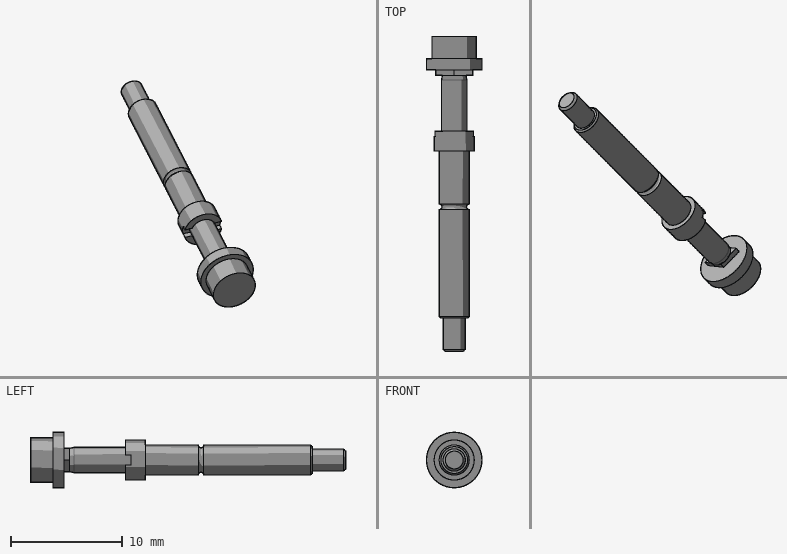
import cadquery as cq

total_length = 28.3
head_length = 2.0
flange_end = head_length + 1.0
key_end = flange_end + 0.5
stem_start = key_end + 0.4
collar_length = 1.8
collar_start = 8.5
collar_end = collar_start + collar_length
groove_center = 15.3
tip_length = 3.0
body_end = total_length - tip_length

head_radius = 2.0
flange_radius = 2.5
stem_radius = 1.15
neck_radius = 1.07
collar_radius = 1.8
body_radius = 1.35
groove_radius = 0.24
tip_radius = 1.0

body_chamfer = 0.15
tip_chamfer = 0.2

key_half_width = 1.68
key_half_height = 1.07

slot_width = 0.9
slot_depth = 0.5


def axial_plane(station):
    """Plane square to the axis, with its normal pointing at the tip (-Y)."""
    return cq.Workplane("XZ", origin=(0, total_length / 2 - station, 0))


def cylinder(radius, start, end):
    return axial_plane(start).circle(radius).extrude(end - start)


def make_head():
    return cylinder(head_radius, 0, head_length).union(cylinder(flange_radius, head_length, flange_end))


def make_key():
    corners = [
        (key_half_width, 0),
        (0, key_half_height),
        (-key_half_width, 0),
        (0, -key_half_height),
    ]
    return axial_plane(flange_end).polyline(corners).close().extrude(key_end - flange_end)


def make_stem():
    neck_length = stem_start - key_end
    neck = (
        axial_plane(key_end)
        .circle(neck_radius)
        .workplane(offset=neck_length)
        .circle(stem_radius)
        .loft()
    )
    return neck.union(cylinder(stem_radius, stem_start, collar_start + slot_depth))


def make_collar():
    collar = cylinder(collar_radius, collar_start, collar_end)
    slot = axial_plane(collar_start).rect(2 * collar_radius, slot_width).extrude(slot_depth)
    return collar.cut(slot)


def make_body():
    body = cylinder(body_radius, collar_end, body_end).faces("<Y").chamfer(body_chamfer)
    groove_y = total_length / 2 - groove_center
    groove = (
        cq.Workplane("XY")
        .center(body_radius, groove_y)
        .circle(groove_radius)
        .revolve(360, (-body_radius, 0), (-body_radius, 1))
    )
    return body.cut(groove)


def make_tip():
    return cylinder(tip_radius, body_end, total_length).faces("<Y").chamfer(tip_chamfer)


result = make_head()
for section in (make_key(), make_collar(), make_stem(), make_body(), make_tip()):
    result = result.union(section)